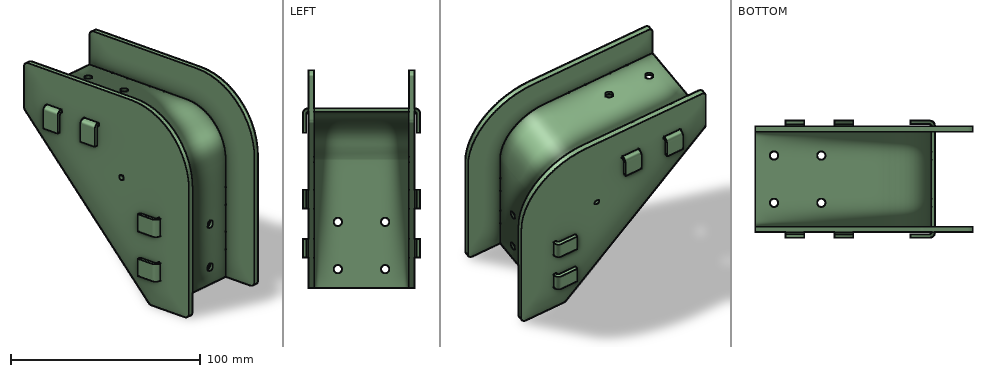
import cadquery as cq
import math

size = 115.0
inner_width = 50.0
arc_middle = math.sqrt(0.5)

plate_thickness = 3.0
plate_outer_y = inner_width / 2 + plate_thickness
corner_radius = 3.0
large_corner_radius = 40.0
end_edge = 27.3
pivot_diameter = 3.0

sheet_thickness = 2.0
sheet_inset = 20.0
sheet_bend_radius = 27.0
sheet_face = size - sheet_inset
sheet_inner_face = sheet_face - sheet_thickness
bend_center = sheet_face - sheet_bend_radius

screw_diameter = 4.3
first_screw = 10.0
screw_pitch = 25.0

tab_width = 10.0
first_tab_center = 21.0
tab_pitch = 25.9
tab_centers = [first_tab_center, first_tab_center + tab_pitch]
tab_flat = 10.0
tab_inner_radius = 1.0
tab_outer_radius = tab_inner_radius + sheet_thickness

slot_clearance = 0.02
relief_diameter = 1.5
relief_reach = 0.6
slot_center_z = sheet_face - sheet_thickness / 2


def swap_x_and_z(shape):
    """Turn a Y-symmetric shape on the top leg into its twin on the vertical leg."""
    return shape.rotate((0, 0, 0), (1, 0, 1), 180)


def on_both_legs(shape):
    return shape.union(swap_x_and_z(shape))


def make_slots():
    """Tab slots of both legs, cutting through both plates."""
    slot_places = cq.Workplane("XZ").pushPoints([(x, slot_center_z) for x in tab_centers])
    fits = slot_places.rect(tab_width, sheet_thickness + 2 * slot_clearance).extrude(plate_outer_y, both=True)
    reliefs = slot_places.slot2D(tab_width + 2 * relief_reach, relief_diameter).extrude(
        plate_outer_y, both=True
    )
    return on_both_legs(fits.union(reliefs))


def make_plate(inner_y):
    """One side plate, extending in +Y from inner_y."""
    plate = (
        cq.Workplane("XZ", origin=(0, inner_y, 0))
        .moveTo(0, size)
        .lineTo(size, size)
        .lineTo(size, 0)
        .lineTo(size - end_edge, 0)
        .lineTo(0, size - end_edge)
        .close()
        .extrude(-plate_thickness)
    )
    outer_corner = cq.selectors.NearestToPointSelector((size, inner_y + plate_thickness / 2, size))
    plate = plate.edges("|Y").edges(outer_corner).fillet(large_corner_radius)
    plate = plate.edges("|Y and (<X or <Z)").fillet(corner_radius)
    pivot_hole = (
        cq.Workplane("XZ")
        .center(bend_center, bend_center)
        .circle(pivot_diameter / 2)
        .extrude(plate_outer_y, both=True)
    )
    return plate.cut(pivot_hole).cut(make_slots())


def make_curved_panel():
    """The L-shaped sheet with its rounded bend."""
    middle = bend_center + sheet_bend_radius * arc_middle
    inner_middle = bend_center + (sheet_bend_radius - sheet_thickness) * arc_middle
    return (
        cq.Workplane("XZ")
        .moveTo(0, sheet_face)
        .lineTo(bend_center, sheet_face)
        .threePointArc((middle, middle), (sheet_face, bend_center))
        .lineTo(sheet_face, 0)
        .lineTo(sheet_inner_face, 0)
        .lineTo(sheet_inner_face, bend_center)
        .threePointArc((inner_middle, inner_middle), (bend_center, sheet_inner_face))
        .lineTo(0, sheet_inner_face)
        .close()
        .extrude(inner_width / 2, both=True)
    )


def make_tab(center_x):
    """A top-leg tab on the +Y side: straight through the plate, then folded down."""
    fold_z = sheet_face - tab_outer_radius
    tip_z = fold_z - tab_flat
    return (
        cq.Workplane("YZ", origin=(center_x, 0, 0))
        .moveTo(inner_width / 2, sheet_face)
        .lineTo(plate_outer_y, sheet_face)
        .threePointArc(
            (plate_outer_y + tab_outer_radius * arc_middle, fold_z + tab_outer_radius * arc_middle),
            (plate_outer_y + tab_outer_radius, fold_z),
        )
        .lineTo(plate_outer_y + tab_outer_radius, tip_z)
        .lineTo(plate_outer_y + tab_inner_radius, tip_z)
        .lineTo(plate_outer_y + tab_inner_radius, fold_z)
        .threePointArc(
            (plate_outer_y + tab_inner_radius * arc_middle, fold_z + tab_inner_radius * arc_middle),
            (plate_outer_y, sheet_inner_face),
        )
        .lineTo(inner_width / 2, sheet_inner_face)
        .close()
        .extrude(tab_width / 2, both=True)
    )


def make_screw_holes():
    """The square pattern of screw holes in each leg."""
    top_holes = (
        cq.Workplane("XY", origin=(0, 0, sheet_inner_face))
        .center(first_screw + screw_pitch / 2, 0)
        .rarray(screw_pitch, screw_pitch, 2, 2)
        .circle(screw_diameter / 2)
        .extrude(sheet_thickness)
    )
    return on_both_legs(top_holes)


def make_sheet():
    sheet = make_curved_panel()
    for center_x in tab_centers:
        tab = make_tab(center_x)
        tab_pair = tab.union(tab.mirror("XZ"))
        sheet = sheet.union(on_both_legs(tab_pair))
    return sheet.cut(make_screw_holes())


side_plates = [make_plate(inner_y) for inner_y in (-plate_outer_y, inner_width / 2)]
bent_sheet = make_sheet()

result = cq.Compound.makeCompound([bent_sheet.val(), *[plate.val() for plate in side_plates]])